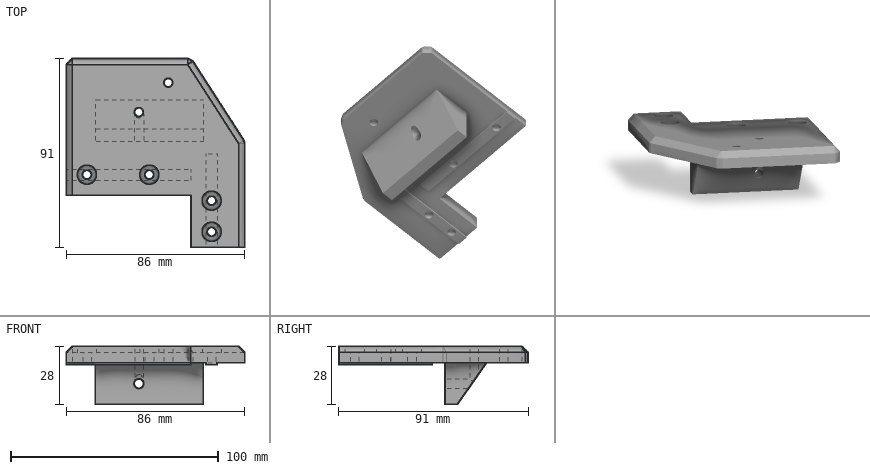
import cadquery as cq
import math


length = 86.0
depth = 91.0
thickness = 8.0
notch_x = 60.0
notch_y = 25.0

bevel_height = 3.0
bevel_run = bevel_height
slope_start_x = 58.5
slope_end_y = 50.0

screw_diameter = 4.2
head_diameter = 9.2
head_depth = 3.0
row_y = 35.0
row_xs = (10.0, 40.0)
arm_x = 70.0
arm_ys = (7.5, 22.5)

plain_diameter = 4.1
plain_x = 35.0
plain_y = 65.1
plain_pitch = 20.0

key_width = 5.4
key_height = 1.0
key_end_y = 45.0

lug_x = 14.0
lug_length = 52.0
lug_height = 20.0
lug_front_y = 51.0
lug_tip_depth = 6.0
lug_root_depth = 20.0
lug_hole_diameter = 4.5
lug_hole_drop = lug_height / 2


def bevelled_edges():
    """Pairs of plan lines (top line, outer line) of the bevelled edges, clockwise from the left edge."""
    left_x = bevel_run
    right_x = length - bevel_run
    back_y = depth - bevel_run

    slope_dx = right_x - slope_start_x
    slope_dy = slope_end_y - back_y
    slope_length = math.hypot(slope_dx, slope_dy)
    slope_out_x = -slope_dy / slope_length * bevel_run
    slope_out_y = slope_dx / slope_length * bevel_run

    edges = (
        ((left_x, notch_y), (left_x, back_y), (-bevel_run, 0)),
        ((left_x, back_y), (slope_start_x, back_y), (0, bevel_run)),
        ((slope_start_x, back_y), (right_x, slope_end_y), (slope_out_x, slope_out_y)),
        ((right_x, slope_end_y), (right_x, 0), (bevel_run, 0)),
    )
    pairs = []
    for start, end, (out_x, out_y) in edges:
        outer_start = (start[0] + out_x, start[1] + out_y)
        outer_end = (end[0] + out_x, end[1] + out_y)
        pairs.append(((start, end), (outer_start, outer_end)))
    return pairs


def make_plate():
    """Plate as a faceted solid: each edge has a sloped bevel, each corner a triangular facet."""
    edges = bevelled_edges()
    shoulder = thickness - bevel_height
    notch = [(notch_x, 0), (notch_x, notch_y)]

    def at(point, z):
        return cq.Vector(point[0], point[1], z)

    outer = [point for _, outer_line in edges for point in outer_line]
    top = [edges[0][0][0]] + [top_line[1] for top_line, _ in edges]
    left_end, right_end = outer[0], outer[-1]

    loops = [
        [at(point, 0) for point in outer + notch],
        [at(point, thickness) for point in top + notch],
        [at(notch[0], 0), at(notch[1], 0), at(notch[1], thickness), at(notch[0], thickness)],
        [at(right_end, 0), at(notch[0], 0), at(notch[0], thickness),
         at(top[-1], thickness), at(right_end, shoulder)],
        [at(notch[1], 0), at(left_end, 0), at(left_end, shoulder),
         at(top[0], thickness), at(notch[1], thickness)],
    ]
    for start, end in zip(outer, outer[1:]):
        loops.append([at(start, 0), at(end, 0), at(end, shoulder), at(start, shoulder)])
    for (start, end), (outer_start, outer_end) in edges:
        loops.append([at(outer_start, shoulder), at(outer_end, shoulder),
                      at(end, thickness), at(start, thickness)])
    for (top_line, outer_line), (_, next_outer_line) in zip(edges, edges[1:]):
        loops.append([at(outer_line[1], shoulder), at(next_outer_line[0], shoulder),
                      at(top_line[1], thickness)])

    faces = [cq.Face.makeFromWires(cq.Wire.makePolygon(loop, close=True)) for loop in loops]
    return cq.Workplane(cq.Solid.makeSolid(cq.Shell.makeShell(faces)))


def make_keys():
    """One key under the main plate along X and one under the arm along Y."""
    row_key = cq.Workplane().box(notch_x, key_width, key_height, centered=(False, True, False))
    arm_key = cq.Workplane().box(key_width, key_end_y, key_height, centered=(True, False, False))
    row_key = row_key.translate((0, row_y, -key_height))
    arm_key = arm_key.translate((arm_x, 0, -key_height))
    return row_key.union(arm_key)


def make_lug():
    """Lug with a vertical front face and a sloped back."""
    profile = [
        (lug_front_y, 0),
        (lug_front_y, -lug_height),
        (lug_front_y + lug_tip_depth, -lug_height),
        (lug_front_y + lug_root_depth, 0),
    ]
    return cq.Workplane("YZ", origin=(lug_x, 0, 0)).polyline(profile).close().extrude(lug_length)


def cut_screw_holes(body):
    """Counterbored holes through the plate and its keys."""
    centres = [(x, row_y) for x in row_xs] + [(arm_x, y) for y in arm_ys]
    top_plane = cq.Workplane(origin=(0, 0, thickness)).pushPoints(centres)
    return body.cut(
        top_plane.circle(screw_diameter / 2).extrude(-thickness - key_height)
    ).cut(top_plane.circle(head_diameter / 2).extrude(-head_depth))


def cut_plain_holes(body):
    """Two straight holes, the front one continuing through the lug."""
    step = plain_pitch * math.cos(math.radians(45))
    centres = [(plain_x, plain_y), (plain_x + step, plain_y + step)]
    top_plane = cq.Workplane(origin=(0, 0, thickness)).pushPoints(centres)
    return body.cut(top_plane.circle(plain_diameter / 2).extrude(-thickness - lug_height))


def cut_lug_hole(body):
    """Hole through the lug along Y, in line with the front plain hole."""
    front_plane = cq.Workplane("XZ", origin=(plain_x, lug_front_y, -lug_hole_drop))
    return body.cut(front_plane.circle(lug_hole_diameter / 2).extrude(-lug_root_depth))


result = make_plate().union(make_keys()).union(make_lug())
result = cut_screw_holes(result)
result = cut_plain_holes(result)
result = cut_lug_hole(result)